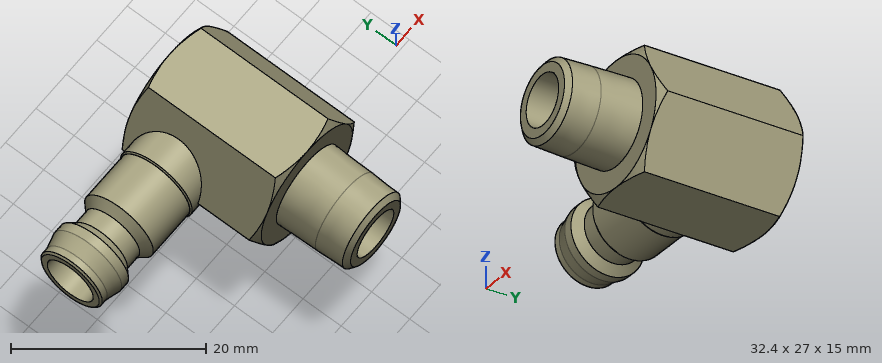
import cadquery as cq
import math

across_flats = 15.0
across_corners = across_flats / math.cos(math.radians(30))
body_length = 18.0
hex_chamfer_angle = 30

overall_depth = 27.0
spigot_tip_radius = 4.1
spigot_chamfer_length = 0.55
spigot_base_radius = 5.02
gauge_radius = 4.9
spigot_end_radius = 4.75
gauge_distance = 4.0

overall_width = 32.4
plug_y = -5.9
plug_tip_x = across_corners / 2 - overall_width
tip_face_radius = 3.8
tip_radius = 4.02
plug_radius = 4.5
neck_radius = 3.53
collar_radius = 4.7
collar_edge_chamfer = 0.15

tip_chamfer_end = 0.23
nose_start = 1.05
nose_end = 2.82
head_end = 3.95
neck_start = 4.95
neck_end = 7.0
shank_start = 8.0
collar_start = 14.0

bore_radius = 3.0


def revolve_along_y(profile):
    """Turn (radius, y) points about the Y axis."""
    return cq.Workplane("XY").polyline(profile).close().revolve(360, (0, 0), (0, 1))


def make_hex_body():
    """Hexagonal prism whose corners are turned down by a cone at both ends."""
    prism = cq.Workplane("XZ").polygon(6, across_corners).extrude(body_length)
    face_radius = across_flats / 2
    corner_radius = across_corners / 2
    drop = (corner_radius - face_radius) * math.tan(math.radians(hex_chamfer_angle))
    envelope = revolve_along_y([
        (0, 0),
        (face_radius, 0),
        (corner_radius, -drop),
        (corner_radius, drop - body_length),
        (face_radius, -body_length),
        (0, -body_length),
    ])
    return prism.intersect(envelope)


def make_spigot():
    """Spigot whose taper steepens past the gauge plane, with a chamfered tip."""
    gauge_y = gauge_distance - overall_depth
    chamfer_y = spigot_chamfer_length - overall_depth
    return revolve_along_y([
        (0, -body_length),
        (spigot_base_radius, -body_length),
        (gauge_radius, gauge_y),
        (spigot_end_radius, chamfer_y),
        (spigot_tip_radius, -overall_depth),
        (0, -overall_depth),
    ])


def make_plug():
    """Turned plug with a grooved head, running from its tip to the body axis."""
    profile = [
        (0, 0),
        (0, tip_face_radius),
        (tip_chamfer_end, tip_radius),
        (nose_start, tip_radius),
        (nose_end, plug_radius),
        (head_end, plug_radius),
        (neck_start, neck_radius),
        (neck_end, neck_radius),
        (shank_start, plug_radius),
        (collar_start, plug_radius),
        (collar_start, collar_radius - collar_edge_chamfer),
        (collar_start + collar_edge_chamfer, collar_radius),
        (-plug_tip_x, collar_radius),
        (-plug_tip_x, 0),
    ]
    plug = cq.Workplane("XY").polyline(profile).close().revolve(360, (0, 0), (1, 0))
    return plug.translate((plug_tip_x, plug_y, 0))


def make_elbow_bore():
    """Two equal blind bores meeting at a right angle inside the body."""
    bore_end_y = plug_y + bore_radius
    spigot_bore = (
        cq.Workplane("XZ", origin=(0, bore_end_y, 0))
        .circle(bore_radius)
        .extrude(overall_depth + bore_end_y)
    )
    plug_bore = (
        cq.Workplane("YZ", origin=(plug_tip_x, plug_y, 0))
        .circle(bore_radius)
        .extrude(-plug_tip_x)
    )
    return spigot_bore.union(plug_bore)


result = make_hex_body().union(make_spigot()).union(make_plug()).cut(make_elbow_bore())